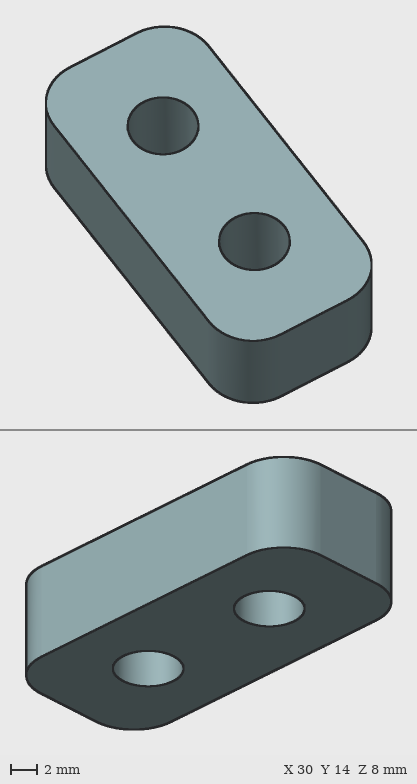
import cadquery as cq

length = 30.0
width = 14.0
height = 8.0
corner_radius = 4.0

hole_diameter = 5.4
hole_spacing = 13.0


def rounded_block():
    """Block with its four vertical edges rounded."""
    return cq.Workplane("XY").box(length, width, height).edges("|Z").fillet(corner_radius)


def drill_holes(block):
    """Drill the pair of vertical through holes, symmetric about the centre."""
    hole_centers = [(side * hole_spacing / 2, 0) for side in (-1, 1)]
    return block.faces(">Z").workplane().pushPoints(hole_centers).hole(hole_diameter)


result = drill_holes(rounded_block())